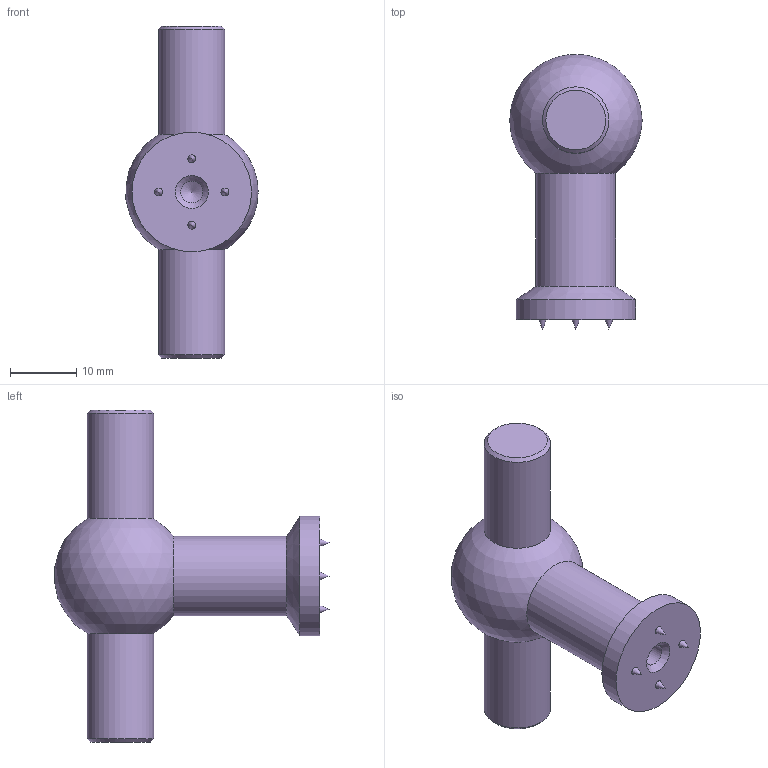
import cadquery as cq

ball_radius = 10.0

bar_radius = 5.0
bar_length = 50.0
bar_chamfer = 0.5

stem_radius = 6.0
flange_radius = 9.0
flange_face = 30.0
flange_thickness = 3.0
flange_taper_length = 2.0
rim_start = flange_face - flange_thickness
taper_start = rim_start - flange_taper_length

spike_count = 4
spike_circle_radius = 5.0
spike_base_radius = 0.6
spike_height = 1.5

hole_radius = 1.65
hole_depth = 10.0
hole_tip_length = 1.0
countersink_radius = 2.5
countersink_depth = countersink_radius - hole_radius


def revolve_about_y(profile):
    """Revolve a closed (radius, distance toward -Y) profile about the Y axis."""
    points = [(radius, -distance) for radius, distance in profile]
    return cq.Workplane("XY").polyline(points).close().revolve(360, (0, 0, 0), (0, 1, 0))


def make_bar():
    bar = cq.Workplane("XY").circle(bar_radius).extrude(bar_length / 2, both=True)
    return bar.faces("|Z").edges().chamfer(bar_chamfer)


def make_stem():
    return revolve_about_y([
        (0, 0),
        (stem_radius, 0),
        (stem_radius, taper_start),
        (flange_radius, rim_start),
        (flange_radius, flange_face),
        (0, flange_face),
    ])


def make_spike():
    """One spike on the Y axis, standing on the flange face."""
    return revolve_about_y([
        (0, flange_face),
        (spike_base_radius, flange_face),
        (0, flange_face + spike_height),
    ])


def make_hole():
    hole_end = flange_face - hole_depth
    return revolve_about_y([
        (0, flange_face),
        (countersink_radius, flange_face),
        (hole_radius, flange_face - countersink_depth),
        (hole_radius, hole_end),
        (0, hole_end - hole_tip_length),
    ])


body = cq.Workplane("XY").sphere(ball_radius).union(make_bar()).union(make_stem())
body = body.cut(make_hole())

first_spike = make_spike().translate((spike_circle_radius, 0, 0))
for index in range(spike_count):
    angle = index * 360 / spike_count
    body = body.union(first_spike.rotate((0, 0, 0), (0, 1, 0), angle))

result = body